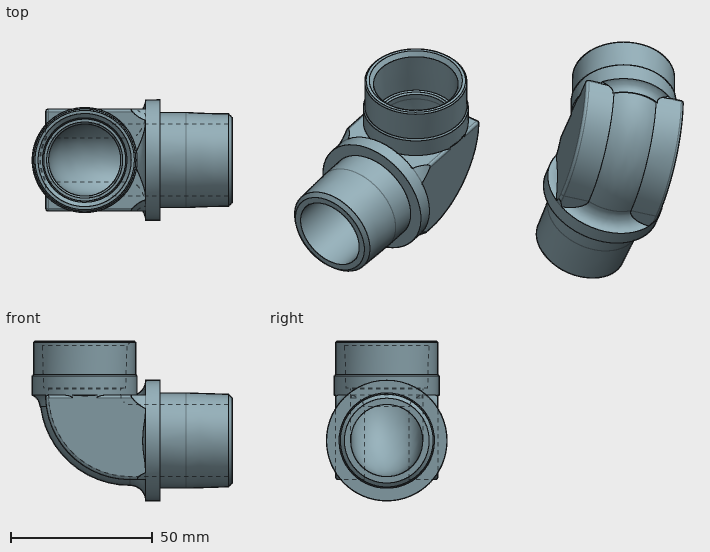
import cadquery as cq
import math


bend_radius = 16.0
tube_radius = 15.8
bore_radius = 12.7

socket_top = 35.0
socket_radius = 18.0
socket_chamfer = 0.5
collar_radius = 18.5
collar_bottom = bend_radius
collar_top = 23.3
collar_step_height = 0.6
collar_flare_length = 4.0

taper_slope = 1 / 32
mouth_radius = 16.4
mouth_chamfer = 1.5
thread_bottom = 18.6
seat_radius = 13.4
seat_chamfer = 0.5

flange_radius = 21.25
flange_flare = flange_radius - tube_radius
flange_start = bend_radius + flange_flare
flange_end = 26.6

spigot_radius = 16.8
spigot_taper_start = 35.7
spigot_end = 52.0
spigot_chamfer = 1.4

body_half_width = 18.0
body_reach = 13.75
body_fillet = 1.0
corner_trim_length = 5.6
corner_trim_rise = 2.9
corner_trim_sag = 0.5


def bent_tube(radius):
    """Quarter-turn round bar from (0, bend_radius) on Z to (bend_radius, 0) on X."""
    return (
        cq.Workplane("XY", origin=(0, 0, bend_radius))
        .circle(radius)
        .revolve(90, (bend_radius, 1, 0), (bend_radius, -1, 0))
    )


def turn_about_z(profile):
    return profile.close().revolve(360, (0, 0, 0), (0, 1, 0))


def turn_about_x(profile):
    return profile.close().revolve(360, (0, 0, 0), (1, 0, 0))


def flare_arc(small, large, start, length):
    """Middle and end points (radius, height) of a concave arc tangent to the tube at `start`."""
    rise = large - small
    arc_radius = (length**2 + rise**2) / (2 * rise)
    half_sweep = math.atan2(rise, length)
    middle_radius = small + arc_radius * (1 - math.cos(half_sweep))
    middle_height = start + arc_radius * math.sin(half_sweep)
    return (middle_radius, middle_height), (large, start + length)


def make_socket():
    flare_bottom = collar_bottom - collar_flare_length
    flare = flare_arc(tube_radius, collar_radius, flare_bottom, collar_flare_length)
    profile = (
        cq.Workplane("XZ")
        .moveTo(0, flare_bottom)
        .lineTo(tube_radius, flare_bottom)
        .threePointArc(*flare)
        .lineTo(collar_radius, collar_top - collar_step_height)
        .lineTo(socket_radius, collar_top)
        .lineTo(socket_radius, socket_top - socket_chamfer)
        .lineTo(socket_radius - socket_chamfer, socket_top)
        .lineTo(0, socket_top)
    )
    return turn_about_z(profile)


def make_spigot():
    tip_start = spigot_end - spigot_chamfer
    tip_radius = spigot_radius - taper_slope * (tip_start - spigot_taper_start)
    diagonal = flange_flare * math.sqrt(0.5)
    profile = (
        cq.Workplane("XZ")
        .moveTo(bend_radius, 0)
        .lineTo(bend_radius, tube_radius)
        .threePointArc((bend_radius + diagonal, flange_radius - diagonal), (flange_start, flange_radius))
        .lineTo(flange_end, flange_radius)
        .lineTo(flange_end, spigot_radius)
        .lineTo(spigot_taper_start, spigot_radius)
        .lineTo(tip_start, tip_radius)
        .lineTo(spigot_end, tip_radius - spigot_chamfer)
        .lineTo(spigot_end, 0)
    )
    return turn_about_x(profile)


def make_body():
    corner_radius = bend_radius + body_reach
    arc_offset = corner_radius * math.sqrt(0.5)
    arc_middle = (bend_radius - arc_offset, bend_radius - arc_offset)
    sharp = (
        cq.Workplane("XZ")
        .moveTo(-body_reach, bend_radius)
        .threePointArc(arc_middle, (bend_radius, -body_reach))
        .lineTo(flange_start, -body_reach)
        .lineTo(flange_start, bend_radius)
        .close()
        .extrude(body_half_width, both=True)
    )
    rounded = sharp.faces("<Y or >Y or >Z").edges("not >X").fillet(body_fillet)

    under_collar = (
        cq.Workplane("XY", origin=(0, 0, collar_bottom - body_fillet))
        .circle(collar_radius)
        .extrude(body_fillet)
    )
    body = rounded.union(sharp.intersect(under_collar))

    return body.intersect(make_corner_trim())


def make_corner_trim():
    """Bell around X whose concave arc runs the body corners down onto the flange rim."""
    bell_radius = flange_radius + corner_trim_rise
    arc_start = (flange_start - corner_trim_length, bell_radius)
    arc_middle = (
        flange_start - corner_trim_length / 2,
        flange_radius + corner_trim_rise / 2 - corner_trim_sag,
    )
    profile = (
        cq.Workplane("XZ")
        .moveTo(-body_reach, 0)
        .lineTo(-body_reach, bell_radius)
        .lineTo(*arc_start)
        .threePointArc(arc_middle, (flange_start, flange_radius))
        .lineTo(flange_start, 0)
    )
    return turn_about_x(profile)


def make_bore():
    thread_top = socket_top - mouth_chamfer
    thread_radius = mouth_radius - mouth_chamfer
    thread_end_radius = thread_radius - taper_slope * (thread_top - thread_bottom)
    profile = (
        cq.Workplane("XZ")
        .moveTo(0, bend_radius)
        .lineTo(bore_radius, bend_radius)
        .lineTo(bore_radius, thread_bottom - seat_chamfer)
        .lineTo(seat_radius, thread_bottom)
        .lineTo(thread_end_radius, thread_bottom)
        .lineTo(thread_radius, thread_top)
        .lineTo(mouth_radius, socket_top)
        .lineTo(0, socket_top)
    )
    spigot_bore = (
        cq.Workplane("YZ", origin=(bend_radius, 0, 0))
        .circle(bore_radius)
        .extrude(spigot_end - bend_radius)
    )
    return turn_about_z(profile).union(bent_tube(bore_radius)).union(spigot_bore)


fittings = bent_tube(tube_radius).union(make_socket()).union(make_spigot())
outside = fittings.union(make_body())
result = outside.cut(make_bore())